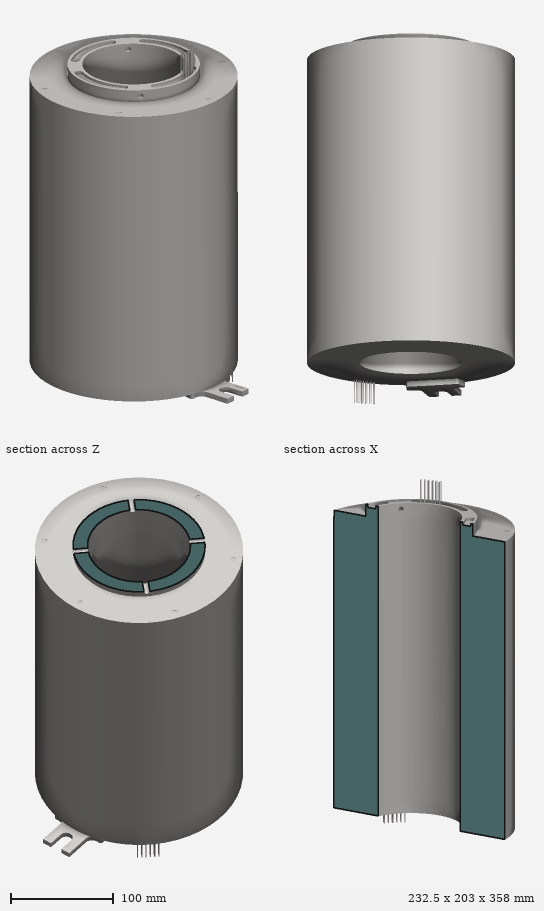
import cadquery as cq
import math

overall_length = 232.5
overall_height = 358.0

body_diameter = 203.0
bore_diameter = 100.0
wire_projection = 22.0
flange_diameter = 129.2
flange_height = 12.0
body_height = overall_height - 2 * wire_projection - flange_height
flange_top = body_height + flange_height

screw_hole_count = 6
screw_hole_diameter = 6.0
screw_circle_radius = 93.0
screw_hole_depth = 0.5

set_screw_count = 4
set_screw_diameter = 5.5
set_screw_first_angle = 45.0

groove_count = 4
groove_radius = 57.5
groove_width = 8.5
groove_half_angle = 29.4
groove_depth = 3.0

wire_diameter = 1.0
wires_per_row = 6
row_spacing = 3.2
rotor_wire_radii = (groove_radius - row_spacing / 2, groove_radius + row_spacing / 2)
rotor_wire_first_angle = 4.3
rotor_wire_pitch_angle = 4.0
stator_wire_inner_radius = 93.0
stator_wire_radii = (stator_wire_inner_radius, stator_wire_inner_radius + row_spacing)
stator_wire_first_angle = 37.2
stator_wire_pitch_angle = 2.5

bracket_thickness = 5.5
bracket_tip_x = overall_length - body_diameter / 2
foot_back_x = 80.2
foot_front_x = 97.0
foot_back_half_width = 26.0
foot_front_half_width = 30.0
foot_corner_radius = 3.0
arm_width = 32.2
arm_root_radius = 7.5
fork_width = 13.0
fork_bottom_x = 109.0


def ring(outer_diameter, height):
    """Tube around the Z axis with the common bore, standing on z = 0."""
    return cq.Workplane("XY").circle(outer_diameter / 2).circle(bore_diameter / 2).extrude(height)


def polar_point(radius, angle):
    """Point in the XY plane at the given radius and angle in degrees."""
    return (radius * math.cos(math.radians(angle)), radius * math.sin(math.radians(angle)))


def screw_holes():
    return (
        cq.Workplane("XY", origin=(0, 0, body_height))
        .polarArray(screw_circle_radius, 0, 360, screw_hole_count)
        .circle(screw_hole_diameter / 2)
        .extrude(-screw_hole_depth)
    )


def set_screw_hole(angle):
    """Radial cutter from the axis out through the flange wall."""
    return (
        cq.Workplane("YZ", origin=(0, 0, body_height + flange_height / 2))
        .circle(set_screw_diameter / 2)
        .extrude(flange_diameter)
        .rotate((0, 0, 0), (0, 0, 1), angle)
    )


def groove(middle_angle):
    """Curved slot with round ends, sunk from the flange top."""
    inner = groove_radius - groove_width / 2
    outer = groove_radius + groove_width / 2
    start = -groove_half_angle
    end = groove_half_angle
    end_cap = math.degrees(groove_width / 2 / groove_radius)
    return (
        cq.Workplane("XY", origin=(0, 0, flange_top))
        .moveTo(*polar_point(outer, start))
        .threePointArc((outer, 0), polar_point(outer, end))
        .threePointArc(polar_point(groove_radius, end + end_cap), polar_point(inner, end))
        .threePointArc((inner, 0), polar_point(inner, start))
        .threePointArc(polar_point(groove_radius, start - end_cap), polar_point(outer, start))
        .close()
        .extrude(-groove_depth)
        .rotate((0, 0, 0), (0, 0, 1), middle_angle)
    )


def wire_bundle(radii, first_angle, pitch_angle, start_z, end_z):
    """Straight parallel wires in concentric rows, from start_z to end_z."""
    points = [
        polar_point(radius, first_angle + index * pitch_angle)
        for radius in radii
        for index in range(wires_per_row)
    ]
    return (
        cq.Workplane("XY", origin=(0, 0, start_z))
        .pushPoints(points)
        .circle(wire_diameter / 2)
        .extrude(end_z - start_z)
    )


def bracket():
    """Forked arm on a tapered foot, hanging below the lower end face."""
    arm_half = arm_width / 2
    fork_half = fork_width / 2
    fork_center_x = fork_bottom_x + fork_half
    margin = 3.5
    plate = (
        cq.Workplane("XY")
        .polyline(
            [
                (foot_back_x, -foot_back_half_width),
                (foot_front_x, -foot_front_half_width),
                (foot_front_x, -arm_half),
                (bracket_tip_x, -arm_half),
                (bracket_tip_x, arm_half),
                (foot_front_x, arm_half),
                (foot_front_x, foot_front_half_width),
                (foot_back_x, foot_back_half_width),
            ]
        )
        .close()
        .extrude(-bracket_thickness)
    )
    foot_corners = cq.selectors.BoxSelector(
        (foot_back_x - margin, -foot_front_half_width - margin, -bracket_thickness),
        (foot_front_x + margin, foot_front_half_width + margin, 0),
    )
    arm_roots = cq.selectors.BoxSelector(
        (foot_front_x - margin, -arm_half - margin, -bracket_thickness),
        (foot_front_x + margin, arm_half + margin, 0),
    )
    plate = plate.edges("|Z").edges(foot_corners - arm_roots).fillet(foot_corner_radius)
    plate = plate.edges("|Z").edges(arm_roots).fillet(arm_root_radius)
    fork = (
        cq.Workplane("XY")
        .moveTo(bracket_tip_x, -fork_half)
        .lineTo(fork_center_x, -fork_half)
        .threePointArc((fork_bottom_x, 0), (fork_center_x, fork_half))
        .lineTo(bracket_tip_x, fork_half)
        .close()
        .extrude(-bracket_thickness)
    )
    return plate.cut(fork)


result = ring(body_diameter, body_height).union(ring(flange_diameter, flange_top))

result = result.cut(screw_holes())
for index in range(set_screw_count):
    result = result.cut(set_screw_hole(set_screw_first_angle + index * 360 / set_screw_count))
for index in range(groove_count):
    result = result.cut(groove(index * 360 / groove_count))

result = result.union(bracket())
result = result.union(
    wire_bundle(
        rotor_wire_radii,
        rotor_wire_first_angle,
        rotor_wire_pitch_angle,
        flange_top - groove_depth,
        flange_top + wire_projection,
    )
)
result = result.union(
    wire_bundle(
        stator_wire_radii,
        stator_wire_first_angle,
        stator_wire_pitch_angle,
        0,
        -wire_projection,
    )
)